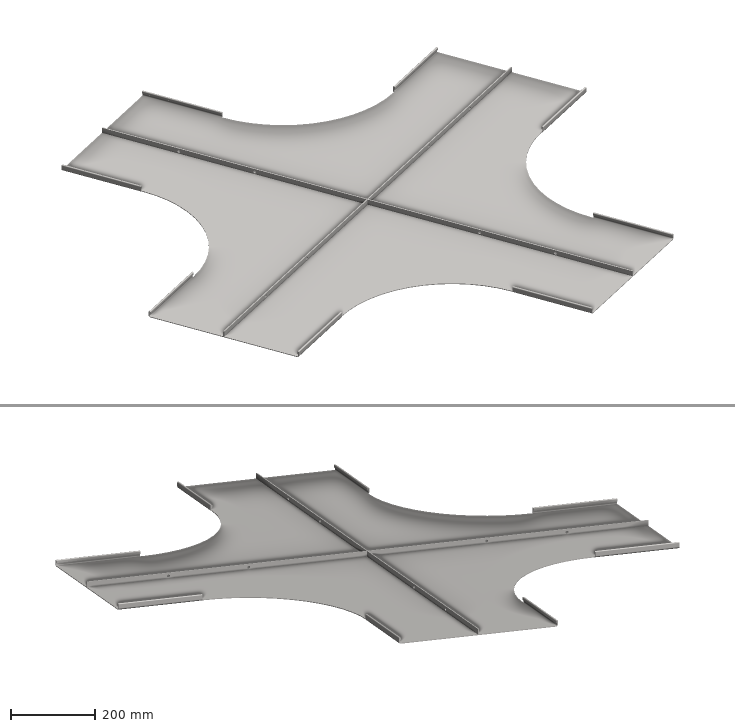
import cadquery as cq
SPAN = 1434.0
HEIGHT = 16.0
ARM_WIDTH = 399.0
CORNER_RADIUS = 300.0
SHEET = 2.0

RAIL_WIDTH = 406.0
RAIL_LENGTH = 215.0
RAIL_TOP = 5.0
LIP_DROP = 7.0
LOWER_BEND = 5.0
UPPER_BEND = 2.2

FLANGE_THICKNESS = 1.0
BOLT_HOLE = 7.0
BOLT_HEIGHT = HEIGHT / 2
BOLT_PLACES = (304.0, 509.0)

QUARTERS = 4

half_span = SPAN / 2
arm_edge = ARM_WIDTH / 2
arc_start = arm_edge + CORNER_RADIUS
rail_start = half_span - RAIL_LENGTH
rail_outer = RAIL_WIDTH / 2
rail_inner = rail_outer - RAIL_TOP
rail_foot = rail_outer - 2 * LOWER_BEND


def swap_x_and_y(shape):
    """Mirror a shape across the vertical plane x = y."""
    return shape.mirror("YZ").rotate((0, 0, 0), (0, 0, 1), -90)


def make_plate():
    """L-shaped floor sheet with a concave arc, cut back under the rails' lower bends."""
    arc_middle = arc_start - CORNER_RADIUS * 0.5**0.5
    return (
        cq.Workplane("XY")
        .lineTo(half_span, 0)
        .lineTo(half_span, rail_foot)
        .lineTo(rail_start, rail_foot)
        .lineTo(rail_start, arm_edge)
        .lineTo(arc_start, arm_edge)
        .threePointArc((arc_middle, arc_middle), (arm_edge, arc_start))
        .lineTo(arm_edge, rail_start)
        .lineTo(rail_foot, rail_start)
        .lineTo(rail_foot, half_span)
        .lineTo(0, half_span)
        .close()
        .extrude(SHEET)
    )


def make_rail():
    """Rail along the +X arm: wall, inward top and hanging lip, with rounded bends."""
    lip_end = HEIGHT - LIP_DROP
    rail = (
        cq.Workplane("YZ", origin=(rail_start, 0, 0))
        .moveTo(rail_foot, 0)
        .lineTo(rail_outer, 0)
        .lineTo(rail_outer, HEIGHT)
        .lineTo(rail_inner, HEIGHT)
        .lineTo(rail_inner, lip_end)
        .lineTo(rail_inner + SHEET, lip_end)
        .lineTo(rail_inner + SHEET, HEIGHT - SHEET)
        .lineTo(rail_outer - SHEET, HEIGHT - SHEET)
        .lineTo(rail_outer - SHEET, SHEET)
        .lineTo(rail_foot, SHEET)
        .close()
        .extrude(RAIL_LENGTH)
    )
    rail_middle = rail_start + RAIL_LENGTH / 2
    bends = [
        (rail_outer, 0, LOWER_BEND),
        (rail_outer - SHEET, SHEET, LOWER_BEND - SHEET),
        (rail_outer, HEIGHT, UPPER_BEND),
        (rail_inner, HEIGHT, UPPER_BEND),
    ]
    for y, z, radius in bends:
        corner = cq.selectors.NearestToPointSelector((rail_middle, y, z))
        rail = rail.edges(corner).fillet(radius)
    return rail


def make_seam_flange():
    """Upright flange along the +X seam with its bolt holes."""
    flange = cq.Workplane("XY").box(half_span, FLANGE_THICKNESS, HEIGHT, centered=False)
    holes = (
        cq.Workplane("XZ")
        .pushPoints([(x, BOLT_HEIGHT) for x in BOLT_PLACES])
        .circle(BOLT_HOLE / 2)
        .extrude(-FLANGE_THICKNESS)
    )
    return flange.cut(holes)


def make_quarter(number):
    """One quarter panel, turned into its place about the Z axis."""
    panel = make_plate()
    for feature in (make_rail(), make_seam_flange()):
        panel = panel.union(feature).union(swap_x_and_y(feature))
    return panel.rotate((0, 0, 0), (0, 0, 1), number * 360 / QUARTERS)


quarters = [make_quarter(number) for number in range(QUARTERS)]

result = cq.Compound.makeCompound([quarter.val() for quarter in quarters])